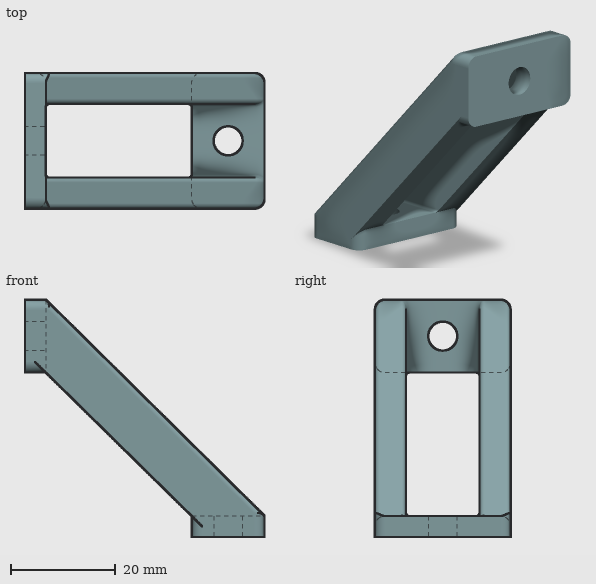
import cadquery as cq

length = 45.85
width = 26.0
height = 45.4

plate_length = 14.0
plate_thickness = 4.05
rail_gap = 14.0
hole_diameter = 5.5

corner_radius = 2.0
rail_edge_radius = 1.0
root_radius = 0.5

pick_margin = 0.45


def make_body():
    """Side outline of the bracket, extruded symmetrically across the width."""
    outline = [
        (0, height),
        (plate_thickness, height),
        (length, plate_thickness),
        (length, 0),
        (length - plate_length, 0),
        (length - plate_length, plate_thickness),
        (plate_thickness, height - plate_length),
        (0, height - plate_length),
    ]
    return cq.Workplane("XZ").polyline(outline).close().extrude(width / 2, both=True)


def round_inner_plate_corners(body):
    """Round the plate corners that lie under the rails."""
    under_upper_plate = cq.selectors.BoxSelector(
        (-pick_margin, -width, height - plate_length - pick_margin),
        (plate_thickness, width, height - plate_length + pick_margin),
    )
    under_rail_foot = cq.selectors.BoxSelector(
        (length - plate_length - pick_margin, -width, -pick_margin),
        (length - plate_length + pick_margin, width, plate_thickness),
    )
    body = body.edges("|X").edges(under_upper_plate).fillet(corner_radius)
    return body.edges("|Z").edges(under_rail_foot).fillet(corner_radius)


def round_outer_plate_corners(body):
    """Trim the plate corners at the top and at the far end, rail ends included."""
    block = cq.Workplane("XY").box(length, width, height, centered=(False, True, False))
    rounded_top = block.edges("|X and >Z").fillet(corner_radius)
    rounded_end = block.edges("|Z and >X").fillet(corner_radius)
    return body.intersect(rounded_top).intersect(rounded_end)


def cut_rail_gap(body):
    """Open the space between the rails, down to the two plates."""
    gap = cq.Workplane("XY").box(length, rail_gap, height, centered=(False, True, False))
    return body.cut(gap.translate((plate_thickness, 0, plate_thickness)))


def round_rail_roots(body):
    """Fill the inside corners where the rails meet the plates."""
    reach = rail_gap / 2 + root_radius / 2
    near_floor = cq.selectors.BoxSelector(
        (plate_thickness, -reach, plate_thickness - pick_margin),
        (length, reach, plate_thickness + pick_margin),
    )
    near_wall = cq.selectors.BoxSelector(
        (plate_thickness - pick_margin, -reach, plate_thickness),
        (plate_thickness + pick_margin, reach, height),
    )
    body = body.edges("|X").edges(near_floor).fillet(root_radius)
    return body.edges("|Z").edges(near_wall).fillet(root_radius)


def round_rail_edges(body):
    """Round both long upper edges of each rail."""
    rail_tops = body.faces(cq.selectors.DirectionMinMaxSelector(cq.Vector(1, 0, 1), True))
    slope = cq.Vector(length - plate_thickness, 0, plate_thickness - height)
    return body.newObject(
        rail_tops.edges(cq.selectors.ParallelDirSelector(slope)).vals()
    ).fillet(rail_edge_radius)


def cut_mounting_holes(body):
    """One centred hole through each mounting plate."""
    upper_hole = (
        cq.Workplane("YZ")
        .center(0, height - plate_length / 2)
        .circle(hole_diameter / 2)
        .extrude(plate_thickness)
    )
    lower_hole = (
        cq.Workplane("XY")
        .center(length - plate_length / 2, 0)
        .circle(hole_diameter / 2)
        .extrude(plate_thickness)
    )
    return body.cut(upper_hole).cut(lower_hole)


bracket = round_inner_plate_corners(make_body())
bracket = cut_rail_gap(bracket)
bracket = round_rail_edges(bracket)
bracket = round_rail_roots(bracket)
bracket = round_outer_plate_corners(bracket)
result = cut_mounting_holes(bracket)